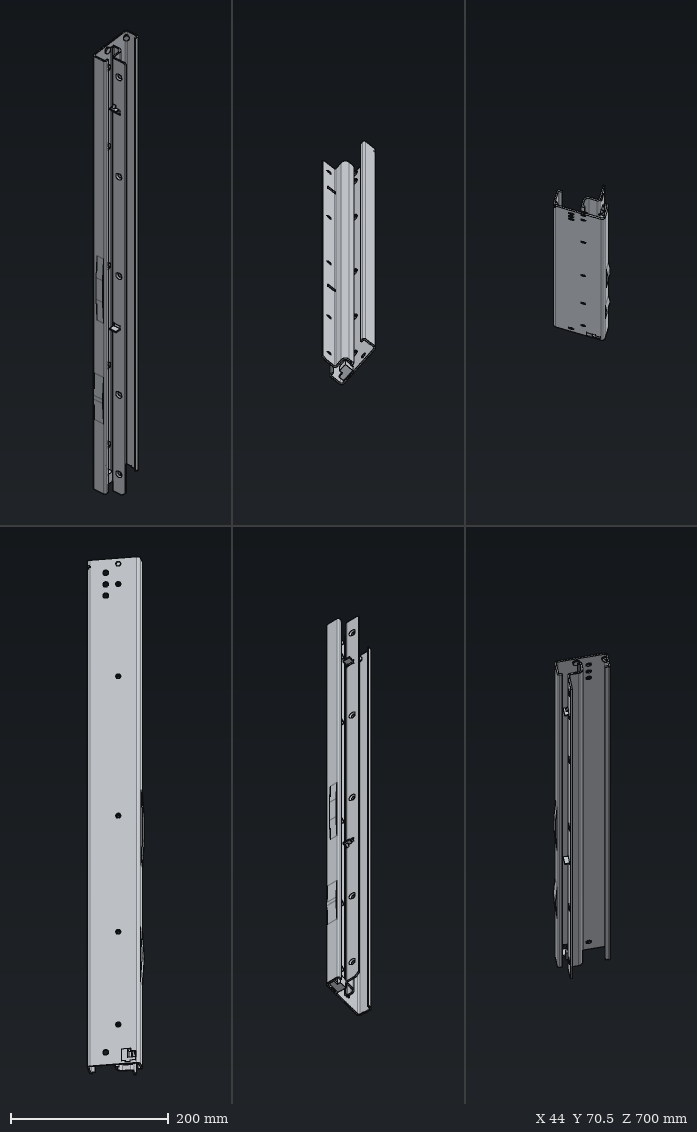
import cadquery as cq


RAIL_LENGTH = 698.5
SHEET = 2.0

CHANNEL_HEIGHT = 68.5
CHANNEL_DEPTH = 22.0
UPPER_LIP = 7.0
LOWER_LIP = 6.0
BACK_BEND = 4.0
LIP_BEND = 3.0

TONGUE_LENGTH = 1.5
TONGUE_START_X = 10.0
TONGUE_DROP = 3.5

CLEAR_HOLE_DIAMETER = 7.0
CLEAR_HOLE_Y = 44.0
CLEAR_HOLE_ZS = [17.5, 648.0, 663.5, 680.0]

DIMPLE_Y = 28.0
DIMPLE_DIAMETER = 6.0
DIMPLE_DEPTH = 2.0
DIMPLE_WALL = 1.5
PILOT_DIAMETER = 3.5
DIMPLE_ZS = [54.5, 183.0, 343.0, 535.5, 663.0]
BLIND_DIMPLE_Z = 691.0

STOP_Z = 689.5
STOP_DIAMETER = 5.0
STOP_WALL = 1.5
STOP_DEPTH = 3.0
STOP_LENGTH = 5.5

PAD_HEIGHT = 2.0
PAD_END_X = CHANNEL_DEPTH - LIP_BEND
LONG_PAD_START_X = 8.5
LONG_PAD_ZS = [276.0, 311.0, 346.0, 379.5]
SHORT_PAD_START_X = BACK_BEND
SHORT_PAD_ZS = [113.5, 148.0, 154.0, 188.0]

WINDOW_LOW_Y, WINDOW_STEP_Y, WINDOW_HIGH_Y = 5.5, 12.0, 24.0
WINDOW_LOW_Z, WINDOW_STEP_Z, WINDOW_HIGH_Z = 4.0, 17.0, 20.0
PRONG_START_Y, PRONG_END_Y = 12.5, 19.0
PRONG_DROP = 2.0
LATCH_DEPTH = 15.0
LATCH_ARM_LOW_Y = 16.0
LATCH_LEG_LOW_Y = 12.5
LATCH_LEG_WIDTH = 5.0
LATCH_BASE_HIGH_Z = 8.5
LATCH_BASE_DEPTH = 10.0

BRACKET_LIP_X = 8.5
BRACKET_WALL_X = 24.0
BRACKET_TOP_Y = 33.5
BRACKET_LIP = 5.0
TOP_BEND = 7.0
FLANGE_BEND = 3.5
FLANGE_TOP_Y = 15.0
FLANGE_LOW_Y = FLANGE_TOP_Y - SHEET
FLANGE_END_X = 44.0
LOW_CORNER, HIGH_CORNER = 5.5, 2.0

SCREW_X = 33.5
SCREW_ZS = [31.5, 159.5, 351.5, 512.0, 672.0]
SCREW_DIAMETER = 5.5
SCREW_HEAD_DIAMETER = 10.0

HOOK_START_X, HOOK_END_X = 23.0, 33.5
HOOK_WINDOW_END_X = 36.0
HOOK_WINDOW_HEIGHT = 6.0
HOOK_REACH = 5.5
GUSSET_START_X = 24.5
GUSSET_WIDTH = 4.0
GUSSET_REACH, GUSSET_HEIGHT = 3.0, 4.0
UPPER_WINDOW_Z, LOWER_WINDOW_Z = 612.0, 265.0
HOOKS = [
    (UPPER_WINDOW_Z, UPPER_WINDOW_Z + HOOK_WINDOW_HEIGHT, 1),
    (LOWER_WINDOW_Z, LOWER_WINDOW_Z, -1),
]


def box(x_range, y_range, z_range):
    """Block filling three ranges, each a low and a high value."""
    lows, highs = zip(x_range, y_range, z_range)
    sizes = [high - low for low, high in zip(lows, highs)]
    return cq.Workplane("XY").box(*sizes, centered=False).translate(lows)


def prism(outline, low_z, high_z):
    """Closed outline in X and Y, raised from low_z to high_z."""
    return cq.Workplane("XY").workplane(offset=low_z).polyline(outline).close().extrude(high_z - low_z)


def bar_along_x(diameter, y, z, start_x, length):
    return cq.Workplane("YZ").workplane(offset=start_x).center(y, z).circle(diameter / 2).extrude(length)



def rounded_block(inset):
    """Channel envelope shrunk by inset on its four long sides, bends rounded to suit."""
    depth_x = (inset, CHANNEL_DEPTH - inset)
    height_y = (inset, CHANNEL_HEIGHT - inset)
    block = box(depth_x, height_y, (-TONGUE_LENGTH, RAIL_LENGTH))
    return block.edges("|Z and <X").fillet(BACK_BEND - inset).edges("|Z and >X").fillet(LIP_BEND - inset)


def channel_section():
    """C section with turned-in lips, cut square at the lower end except for the tongue."""
    section = rounded_block(0).cut(rounded_block(SHEET))
    mouth_x = (CHANNEL_DEPTH - LIP_BEND, CHANNEL_DEPTH)
    whole_z = (-TONGUE_LENGTH, RAIL_LENGTH)
    section = section.cut(box(mouth_x, (LOWER_LIP, CHANNEL_HEIGHT - UPPER_LIP), whole_z))
    end_z = (-TONGUE_LENGTH, 0)
    end_cut = box((0, CHANNEL_DEPTH), (0, CHANNEL_HEIGHT), end_z)
    tongue = box((TONGUE_START_X, CHANNEL_DEPTH), (CHANNEL_HEIGHT - TONGUE_DROP, CHANNEL_HEIGHT), end_z)
    return section.cut(end_cut.cut(tongue))


def pad(start_x, zs):
    """Raised pad under the lower flange with a ramp at each end."""
    heights = [SHEET, 0, -PAD_HEIGHT, -PAD_HEIGHT, 0, SHEET]
    rise, flat_start, flat_end, fall = zs
    outline = list(zip(heights, [rise, rise, flat_start, flat_end, fall, fall]))
    return cq.Workplane("YZ").workplane(offset=start_x).polyline(outline).close().extrude(PAD_END_X - start_x)


def add_dimple(channel, z):
    """Blind round recess with a boss behind it."""
    boss_diameter = DIMPLE_DIAMETER + 2 * DIMPLE_WALL
    channel = channel.union(bar_along_x(boss_diameter, DIMPLE_Y, z, SHEET, DIMPLE_DEPTH))
    return channel.cut(bar_along_x(DIMPLE_DIAMETER, DIMPLE_Y, z, 0, DIMPLE_DEPTH))


def add_stop_dimple(channel):
    """Round dimple pressed diagonally inwards through the upper back bend."""
    inward = cq.Vector(1, -1, 0)
    bend_centre = cq.Vector(BACK_BEND, CHANNEL_HEIGHT - BACK_BEND, STOP_Z)
    outside = bend_centre - inward.normalized() * BACK_BEND
    boss_start = bend_centre - inward.normalized() * (BACK_BEND - SHEET / 2)
    boss_length = STOP_LENGTH - SHEET / 2
    boss = cq.Solid.makeCylinder(STOP_DIAMETER / 2 + STOP_WALL, boss_length, boss_start, inward)
    recess = cq.Solid.makeCylinder(STOP_DIAMETER / 2, STOP_DEPTH, outside, inward)
    boss_in_bend = rounded_block(0).intersect(cq.Workplane(boss))
    return channel.union(boss_in_bend).cut(recess)


def latch_window():
    """Stepped opening through the back wall, with a slot for the latch prong below it."""
    wall = (0, SHEET)
    tall = box(wall, (WINDOW_STEP_Y, WINDOW_HIGH_Y), (WINDOW_LOW_Z, WINDOW_HIGH_Z))
    short = box(wall, (WINDOW_LOW_Y, WINDOW_STEP_Y), (WINDOW_LOW_Z, WINDOW_STEP_Z))
    return tall.union(short).union(latch_prong())


def make_channel():
    channel = channel_section()
    channel = channel.union(pad(LONG_PAD_START_X, LONG_PAD_ZS))
    channel = channel.union(pad(SHORT_PAD_START_X, SHORT_PAD_ZS))
    for z in CLEAR_HOLE_ZS:
        channel = channel.cut(bar_along_x(CLEAR_HOLE_DIAMETER, CLEAR_HOLE_Y, z, 0, SHEET))
    for z in DIMPLE_ZS:
        channel = add_dimple(channel, z)
        channel = channel.cut(bar_along_x(PILOT_DIAMETER, DIMPLE_Y, z, 0, SHEET + DIMPLE_DEPTH))
    channel = add_dimple(channel, BLIND_DIMPLE_Z)
    channel = add_stop_dimple(channel)
    return channel.cut(latch_window())



def latch_prong():
    """Prong under the latch base, in the thickness of the back wall."""
    return box((0, SHEET), (PRONG_START_Y, PRONG_END_Y), (WINDOW_LOW_Z - PRONG_DROP, WINDOW_LOW_Z))


def make_latch():
    """Hooked arm on a base plate, flush with the outside of the back wall."""
    leg_x = LATCH_DEPTH - LATCH_LEG_WIDTH
    arm_outline = [
        (0, WINDOW_HIGH_Y),
        (LATCH_DEPTH, WINDOW_HIGH_Y),
        (LATCH_DEPTH, LATCH_LEG_LOW_Y),
        (leg_x, LATCH_LEG_LOW_Y),
        (leg_x, LATCH_ARM_LOW_Y),
        (0, LATCH_ARM_LOW_Y),
    ]
    arm = prism(arm_outline, WINDOW_LOW_Z, WINDOW_HIGH_Z)
    base_y = (WINDOW_LOW_Y, WINDOW_HIGH_Y)
    base = box((0, LATCH_BASE_DEPTH), base_y, (WINDOW_LOW_Z, LATCH_BASE_HIGH_Z))
    return arm.union(base).union(latch_prong())



def bracket_section():
    """Lip, arm, wall and flange bent from one sheet."""
    lip_inner_x = BRACKET_LIP_X + SHEET
    lip_end_y = BRACKET_TOP_Y - BRACKET_LIP
    arm_low_y = BRACKET_TOP_Y - SHEET
    wall_inner_x = BRACKET_WALL_X - SHEET
    outline = [
        (BRACKET_LIP_X, lip_end_y),
        (BRACKET_LIP_X, BRACKET_TOP_Y),
        (BRACKET_WALL_X, BRACKET_TOP_Y),
        (BRACKET_WALL_X, FLANGE_TOP_Y),
        (FLANGE_END_X, FLANGE_TOP_Y),
        (FLANGE_END_X, FLANGE_LOW_Y),
        (wall_inner_x, FLANGE_LOW_Y),
        (wall_inner_x, arm_low_y),
        (lip_inner_x, arm_low_y),
        (lip_inner_x, lip_end_y),
    ]
    bends = [
        (BRACKET_WALL_X, BRACKET_TOP_Y, TOP_BEND),
        (wall_inner_x, arm_low_y, TOP_BEND - SHEET),
        (wall_inner_x, FLANGE_LOW_Y, FLANGE_BEND),
        (BRACKET_WALL_X, FLANGE_TOP_Y, FLANGE_BEND - SHEET),
    ]
    section = prism(outline, 0, RAIL_LENGTH)
    for x, y, radius in bends:
        corner = cq.selectors.NearestToPointSelector((x, y, RAIL_LENGTH / 2))
        section = section.edges(corner).fillet(radius)
    return section


def add_hook(bracket, window_z, edge_z, side):
    """Window through the flange, with a gusseted plate folded out along one of its edges."""
    window_x = (HOOK_START_X, HOOK_WINDOW_END_X)
    flange_y = (FLANGE_LOW_Y, FLANGE_TOP_Y)
    bracket = bracket.cut(box(window_x, flange_y, (window_z, window_z + HOOK_WINDOW_HEIGHT)))
    far_z = edge_z + side * SHEET
    hook_y = (FLANGE_LOW_Y - HOOK_REACH, FLANGE_TOP_Y)
    hook = box((HOOK_START_X, HOOK_END_X), hook_y, sorted([edge_z, far_z]))
    gusset_outline = [
        (FLANGE_TOP_Y, edge_z),
        (FLANGE_LOW_Y - GUSSET_REACH, edge_z),
        (FLANGE_LOW_Y - GUSSET_REACH, far_z),
        (FLANGE_LOW_Y, far_z + side * GUSSET_HEIGHT),
        (FLANGE_TOP_Y, far_z + side * GUSSET_HEIGHT),
    ]
    gusset = cq.Workplane("YZ").workplane(offset=GUSSET_START_X).polyline(gusset_outline).close()
    return bracket.union(hook).union(gusset.extrude(GUSSET_WIDTH))


def screw_cone(z):
    """Countersunk hole through the flange, wide on the underside."""
    head = cq.Workplane("XZ", origin=(SCREW_X, FLANGE_LOW_Y, z)).circle(SCREW_HEAD_DIAMETER / 2)
    return head.workplane(offset=-SHEET).circle(SCREW_DIAMETER / 2).loft()


def make_bracket():
    bracket = bracket_section()
    bracket = bracket.faces(">X").edges("<Z").chamfer(LOW_CORNER)
    bracket = bracket.faces(">X").edges(">Z").chamfer(HIGH_CORNER)
    for window_z, edge_z, side in HOOKS:
        bracket = add_hook(bracket, window_z, edge_z, side)
    for z in SCREW_ZS:
        bracket = bracket.cut(screw_cone(z))
    return bracket


channel = make_channel()
bracket = make_bracket()
latch = make_latch()
result = cq.Compound.makeCompound([body.solids().val() for body in (channel, bracket, latch)])